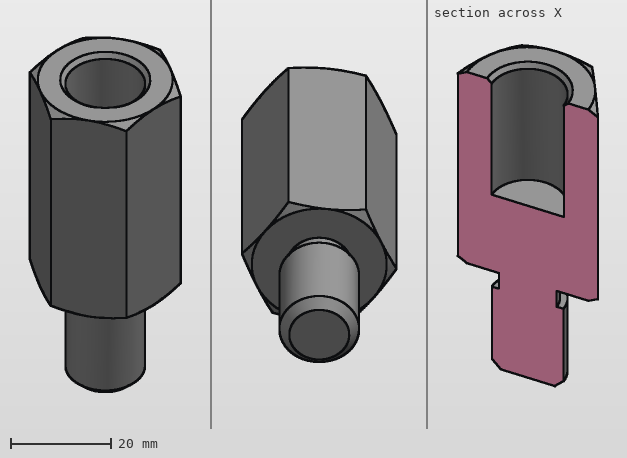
import cadquery as cq
import math

total_length = 75.0
stud_length = 25.0
across_flats = 27.0
thread_diameter = 16.0
neck_diameter = 13.0
neck_length = 4.0
tip_chamfer_height = 2.0
tip_diameter = 12.0
bore_depth = 30.0
bore_mouth_diameter = 18.0
crown_angle = 30.0
countersink_angle = 45.0

across_corners = across_flats / math.cos(math.radians(30))
flat_radius = across_flats / 2
corner_radius = across_corners / 2
crown_drop = (corner_radius - flat_radius) * math.tan(math.radians(crown_angle))
thread_radius = thread_diameter / 2
neck_radius = neck_diameter / 2
tip_radius = tip_diameter / 2
mouth_radius = bore_mouth_diameter / 2
countersink_depth = (mouth_radius - thread_radius) * math.tan(math.radians(countersink_angle))


def revolve_profile(points):
    """Revolve a closed (radius, height) outline around the Z axis."""
    return cq.Workplane("XZ").polyline(points).close().revolve(360, (0, 0), (0, 1))


def hexagon_body():
    """Hexagon with corners on the Y axis, both ends turned to a conical crown."""
    hexagon = (
        cq.Workplane("XY")
        .workplane(offset=stud_length)
        .polygon(6, across_corners)
        .extrude(total_length - stud_length)
        .rotate((0, 0, 0), (0, 0, 1), 30)
    )
    crown_envelope = revolve_profile([
        (0, stud_length),
        (flat_radius, stud_length),
        (corner_radius, stud_length + crown_drop),
        (corner_radius, total_length - crown_drop),
        (flat_radius, total_length),
        (0, total_length),
    ])
    return hexagon.intersect(crown_envelope)


def stud():
    """Stud below the hexagon, with a tapered tip and an undercut neck."""
    neck_bottom = stud_length - neck_length
    return revolve_profile([
        (0, 0),
        (tip_radius, 0),
        (thread_radius, tip_chamfer_height),
        (thread_radius, neck_bottom),
        (neck_radius, neck_bottom),
        (neck_radius, stud_length),
        (0, stud_length),
    ])


def bore():
    """Flat-bottomed blind bore with a countersunk mouth."""
    return revolve_profile([
        (0, total_length - bore_depth),
        (thread_radius, total_length - bore_depth),
        (thread_radius, total_length - countersink_depth),
        (mouth_radius, total_length),
        (0, total_length),
    ])


result = hexagon_body().union(stud()).cut(bore())